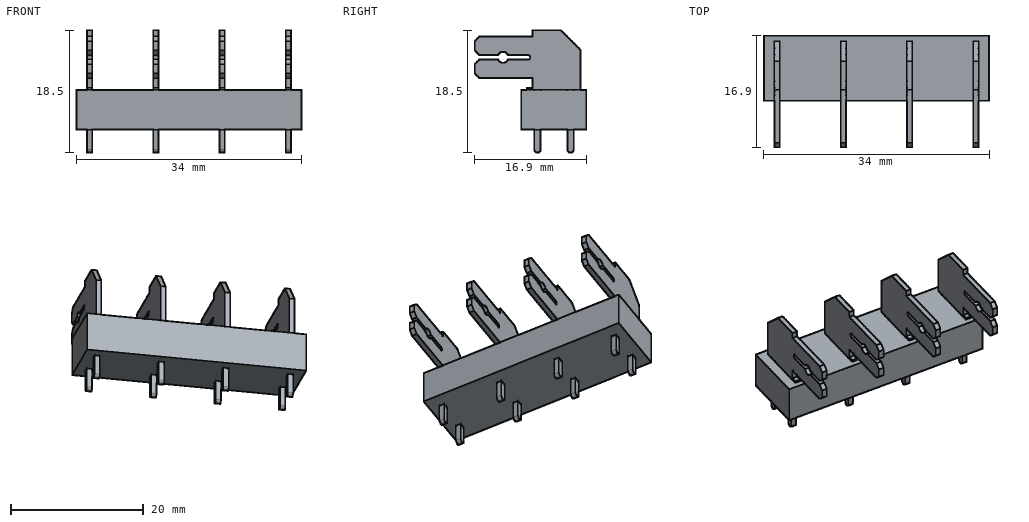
import cadquery as cq

housing_length = 34.0
housing_depth = 9.85
housing_height = 6.0

contact_count = 4
contact_pitch = 10.0
contact_thickness = 0.8

plate_inset = 0.85
plate_depth = 7.3
plate_height = 9.0
plate_chamfer = 3.0

foot_height = 0.3

blade_reach = 16.85
blade_height = 6.3
blade_drop = 0.95
prong_chamfer = 0.7
slot_width = 0.65
slot_end_gap = 0.3
spring_hole_diameter = 1.63
spring_hole_setback = 4.3

leg_spacing = 5.0
back_leg_inset = 2.38
leg_width = 1.0
leg_protrusion = 3.5

plate_back_y = -plate_inset
plate_front_y = plate_back_y - plate_depth
foot_front_y = plate_inset - housing_depth
plate_top_z = housing_height + plate_height
blade_tip_y = -blade_reach
blade_top_z = plate_top_z - blade_drop
blade_center_z = blade_top_z - blade_height / 2
leg_centers_y = [-back_leg_inset, -back_leg_inset - leg_spacing]
contact_centers_x = [(i - (contact_count - 1) / 2) * contact_pitch for i in range(contact_count)]


def side_sketch():
    """Workplane for contact profiles, drawn as (Y, Z) on the contact's -X face."""
    return cq.Workplane("YZ", origin=(-contact_thickness / 2, 0, 0))


def make_plate():
    """Upright plate with a chamfered back top corner."""
    return (
        side_sketch()
        .moveTo(plate_back_y, housing_height)
        .lineTo(plate_back_y, plate_top_z - plate_chamfer)
        .lineTo(plate_back_y - plate_chamfer, plate_top_z)
        .lineTo(plate_front_y, plate_top_z)
        .lineTo(plate_front_y, housing_height)
        .close()
        .extrude(contact_thickness)
    )


def make_foot():
    """Low foot continuing the plate forward along the housing top."""
    foot_depth = plate_front_y - foot_front_y
    return (
        side_sketch()
        .center(foot_front_y + foot_depth / 2, housing_height + foot_height / 2)
        .rect(foot_depth, foot_height)
        .extrude(contact_thickness)
    )


def make_prongs():
    """Upper and lower prongs of the blade, chamfered at both tip corners."""
    prong_length = plate_front_y - blade_tip_y
    prong_height = (blade_height - slot_width) / 2
    prong_offset_z = (slot_width + prong_height) / 2
    return (
        side_sketch()
        .center(blade_tip_y + prong_length / 2, blade_center_z)
        .pushPoints([(0, prong_offset_z), (0, -prong_offset_z)])
        .rect(prong_length, prong_height)
        .extrude(contact_thickness)
        .edges("|X and <Y")
        .chamfer(prong_chamfer)
    )


def make_slot_root():
    """Web that closes the slot between the prongs with a round end."""
    slot_radius = slot_width / 2
    arc_start_y = plate_front_y - slot_end_gap - slot_radius
    return (
        side_sketch()
        .moveTo(plate_front_y, blade_center_z + slot_radius)
        .lineTo(arc_start_y, blade_center_z + slot_radius)
        .threePointArc(
            (plate_front_y - slot_end_gap, blade_center_z),
            (arc_start_y, blade_center_z - slot_radius),
        )
        .lineTo(plate_front_y, blade_center_z - slot_radius)
        .close()
        .extrude(contact_thickness)
    )


def make_spring_hole():
    """Round hole cut through the middle of the slot."""
    return (
        side_sketch()
        .center(blade_tip_y + spring_hole_setback, blade_center_z)
        .circle(spring_hole_diameter / 2)
        .extrude(contact_thickness)
    )


def make_leg(center_y):
    """Leg from the housing top down to a round tip below the housing."""
    leg_radius = leg_width / 2
    tip_z = -leg_protrusion
    return (
        side_sketch()
        .moveTo(center_y + leg_radius, housing_height)
        .lineTo(center_y + leg_radius, tip_z + leg_radius)
        .threePointArc((center_y, tip_z), (center_y - leg_radius, tip_z + leg_radius))
        .lineTo(center_y - leg_radius, housing_height)
        .close()
        .extrude(contact_thickness)
    )


def make_contact(center_x):
    """One flat contact: plate, foot, forked blade and two legs."""
    contact = make_plate().union(make_foot()).union(make_prongs()).union(make_slot_root())
    contact = contact.cut(make_spring_hole())
    for center_y in leg_centers_y:
        contact = contact.union(make_leg(center_y))
    return contact.translate((center_x, 0, 0))


def make_housing():
    """Block with a through hole for every contact leg."""
    leg_positions = [(x, y + housing_depth / 2) for x in contact_centers_x for y in leg_centers_y]
    return (
        cq.Workplane("XY")
        .center(0, -housing_depth / 2)
        .rect(housing_length, housing_depth)
        .extrude(housing_height)
        .cut(
            cq.Workplane("XY")
            .center(0, -housing_depth / 2)
            .pushPoints(leg_positions)
            .rect(contact_thickness, leg_width)
            .extrude(housing_height)
        )
    )


housing = make_housing()
contacts = [make_contact(center_x) for center_x in contact_centers_x]

result = cq.Compound.makeCompound([housing.val(), *[contact.val() for contact in contacts]])